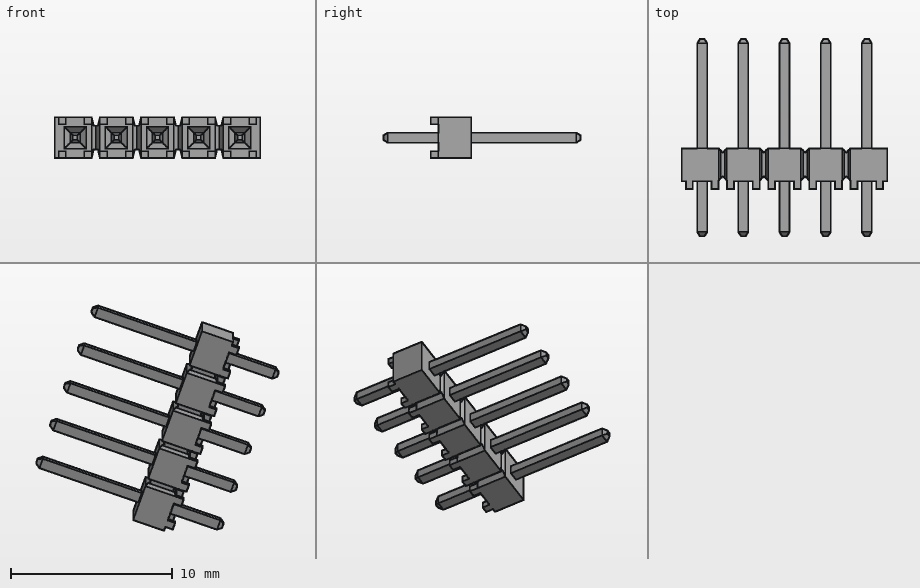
import cadquery as cq

pin_count = 5
pitch = 2.54
row_length = pin_count * pitch
housing_height = 2.54
housing_depth = 2.03
first_x = -(pin_count - 1) * pitch / 2
pin_positions = [first_x + i * pitch for i in range(pin_count)]
gap_positions = [x + pitch / 2 for x in pin_positions[:-1]]

pin_length = 12.19
pin_width = 0.64
tip_length = 0.28
tip_width = 0.28

rear_pin_length = 6.76
rear_y = pin_length / 2 - rear_pin_length
front_y = rear_y - housing_depth

groove_width = 0.51
groove_floor_width = 0.25
groove_depth = 0.53
notch_depth = 0.25
front_notch_setback = 0.05

foot_size = 0.45
foot_length = 0.48
foot_outer_offset = (pitch - groove_width) / 2

recess_width = 1.35
recess_depth = 0.25


def square_taper(x, y_start, y_end, width_start, width_end):
    """Square frustum along Y, centred on the pin axis at x."""
    plane = cq.Plane(origin=(x, y_start, 0), xDir=(1, 0, 0), normal=(0, y_end - y_start, 0))
    return (
        cq.Workplane(plane)
        .rect(width_start, width_start)
        .workplane(offset=abs(y_end - y_start))
        .rect(width_end, width_end)
        .loft(ruled=True)
    )


def break_groove(x, side):
    """Trapezoidal groove across the top (side=1) or bottom (side=-1) face."""
    surface_z = side * housing_height / 2
    floor_z = surface_z - side * groove_depth
    outline = [
        (x - groove_width / 2, surface_z),
        (x - groove_floor_width / 2, floor_z),
        (x + groove_floor_width / 2, floor_z),
        (x + groove_width / 2, surface_z),
    ]
    return cq.Workplane("XZ", origin=(0, rear_y, 0)).polyline(outline).close().extrude(housing_depth)


def break_notch(x, face_y, inward, setback=0.0):
    """Full-height V notch in the front or rear face, cutting in the Y sense given by inward.

    A setback gives the notch short straight walls before the V begins.
    """
    v_start_y = face_y + inward * setback
    outline = [
        (x - groove_width / 2, v_start_y),
        (x, v_start_y + inward * notch_depth),
        (x + groove_width / 2, v_start_y),
    ]
    if setback > 0:
        outline += [(x + groove_width / 2, face_y), (x - groove_width / 2, face_y)]
    return cq.Workplane("XY").polyline(outline).close().extrude(housing_height / 2, both=True)


def feet(x):
    """Four square standoff feet at the corners of one position."""
    spacing_x = 2 * foot_outer_offset - foot_size
    spacing_z = housing_height - foot_size
    return (
        cq.Workplane("XZ", origin=(x, front_y, 0))
        .rect(spacing_x, spacing_z, forConstruction=True)
        .vertices()
        .rect(foot_size, foot_size)
        .extrude(foot_length)
    )


def pin(x):
    """Full-length square pin with a tapered tip at each end."""
    shank_end = pin_length / 2 - tip_length
    shank = cq.Workplane("XY").box(pin_width, 2 * shank_end, pin_width).translate((x, 0, 0))
    for side in (-1, 1):
        tip = square_taper(x, side * shank_end, side * pin_length / 2, pin_width, tip_width)
        shank = shank.union(tip)
    return shank


housing = cq.Workplane("XY").box(row_length, housing_depth, housing_height)
housing = housing.translate((0, (rear_y + front_y) / 2, 0))

for gap_x in gap_positions:
    housing = housing.cut(break_groove(gap_x, 1)).cut(break_groove(gap_x, -1))
    housing = housing.cut(break_notch(gap_x, front_y, 1, front_notch_setback))
    housing = housing.cut(break_notch(gap_x, rear_y, -1))

for pin_x in pin_positions:
    recess = square_taper(pin_x, front_y, front_y + recess_depth, recess_width, pin_width)
    housing = housing.cut(recess).union(feet(pin_x))

result = housing
for pin_x in pin_positions:
    result = result.union(pin(pin_x))